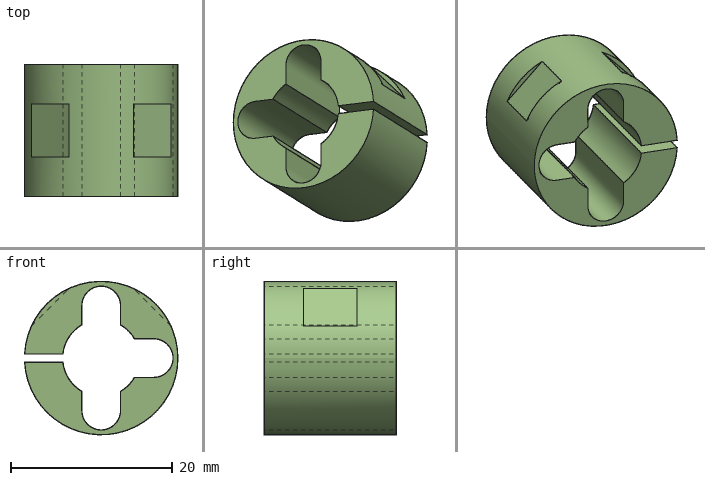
import cadquery as cq
import math

outer_diameter = 19.05
length = 16.41
bore_diameter = 9.525
lobe_width = 4.7625
lobe_reach = 8.9
split_width = 1.0
flat_size = 6.6
lobe_angles = (0, 90, 270)
flat_angles = (45, 135)

outer_radius = outer_diameter / 2
flat_distance = math.sqrt(outer_radius**2 - (flat_size / 2) ** 2)
lobe_end_center = lobe_reach - lobe_width / 2


def turned(body, angle):
    """Turn a body about the sleeve axis, from +X towards +Z."""
    return body.rotate((0, 0, 0), (0, -1, 0), angle)


def sleeve():
    """Plain tube centred on the origin."""
    return (
        cq.Workplane("XZ", origin=(0, length / 2, 0))
        .circle(outer_radius)
        .circle(bore_diameter / 2)
        .extrude(length)
    )


def lobe_cutter():
    """Round-ended slot running from the axis out along +X."""
    straight = cq.Workplane("XY").box(
        lobe_end_center, length, lobe_width, centered=(False, True, True)
    )
    round_end = (
        cq.Workplane("XZ", origin=(0, length / 2, 0))
        .center(lobe_end_center, 0)
        .circle(lobe_width / 2)
        .extrude(length)
    )
    return straight.union(round_end)


def split_cutter():
    """Narrow slit from the bore out through the wall along -X."""
    return (
        cq.Workplane("XY")
        .box(outer_radius, length, split_width)
        .translate((-outer_radius / 2, 0, 0))
    )


def flat_cutter():
    """Block that planes a square flat across the outside on the +X side."""
    return (
        cq.Workplane("XY")
        .box(outer_radius, flat_size, outer_diameter, centered=(False, True, True))
        .translate((flat_distance, 0, 0))
    )


result = sleeve().cut(split_cutter())

for angle in lobe_angles:
    result = result.cut(turned(lobe_cutter(), angle))

for angle in flat_angles:
    result = result.cut(turned(flat_cutter(), angle))